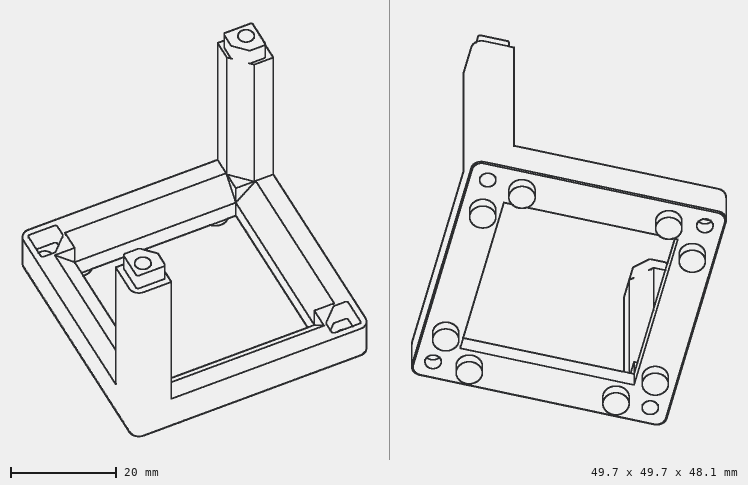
import cadquery as cq

SIDE = 49.7
BAR_WIDTH = 7.9
BASE_HEIGHT = 8.0
CORNER_RADIUS = 2.05
BOTTOM_CHAMFER = 0.25
BAR_BEVEL = 4.15

POST_TOP = 41.95
POST_CHAMFER = 3.85

TENON_INSET = 1.25
TENON_SIZE = 6.05
TENON_HEIGHT = 3.75
TENON_EDGE_RADIUS = 0.45
SOCKET_DEPTH = 4.95
SOCKET_CHAMFER = 3.2

HOLE_DIAMETER = 3.1
HOLE_INSET = 3.7
FOOT_DIAMETER = 4.95
FOOT_HEIGHT = 2.35
FOOT_INSET = 4.4
FOOT_END_OFFSET = 10.55

TENON_SETBACK = BAR_WIDTH - TENON_INSET - TENON_SIZE
TENON_CHAMFER = POST_CHAMFER - 2 * TENON_SETBACK
HALF = SIDE / 2
OPENING = SIDE - 2 * BAR_WIDTH
POST_CORNERS = [(-1, 1), (1, -1)]
SOCKET_CORNERS = [(-1, -1), (1, 1)]
ALL_CORNERS = POST_CORNERS + SOCKET_CORNERS


def corner_prism(corner, inset, size, chamfer, bottom, height):
    """Square prism in a frame corner, with its inward-facing edge cut at 45 degrees."""
    sx, sy = corner
    near = HALF - inset
    far = near - size
    outline = [
        (near, near),
        (far, near),
        (far, far + chamfer),
        (far + chamfer, far),
        (near, far),
    ]
    points = [(sx * x, sy * y) for x, y in outline]
    return cq.Workplane("XY").workplane(offset=bottom).polyline(points).close().extrude(height)


def rounded_prism(corner, chamfer, bottom, height):
    """Corner prism with rounded vertical edges, shared by the tenons and their sockets."""
    prism = corner_prism(corner, TENON_INSET, TENON_SIZE, chamfer, bottom, height)
    return prism.edges("|Z").fillet(TENON_EDGE_RADIUS)


def base_ring():
    """Square ring with a beveled inner top edge along each bar, between the corner blocks."""
    ring = cq.Workplane("XY").rect(SIDE, SIDE).extrude(BASE_HEIGHT)
    ring = ring.cut(cq.Workplane("XY").rect(OPENING, OPENING).extrude(BASE_HEIGHT))
    inner = OPENING / 2
    bevel = (
        cq.Workplane("XZ", origin=(0, inner, 0))
        .polyline([
            (inner, BASE_HEIGHT),
            (inner + BAR_BEVEL, BASE_HEIGHT),
            (inner, BASE_HEIGHT - BAR_BEVEL),
        ])
        .close()
        .extrude(OPENING)
    )
    for quarter in range(4):
        ring = ring.cut(bevel.rotate((0, 0, 0), (0, 0, 1), 90 * quarter))
    return ring


def rounded_envelope():
    """Outer limit of the frame: rounded vertical corners and a chamfered bottom edge."""
    block = cq.Workplane("XY").rect(SIDE, SIDE).extrude(POST_TOP)
    return block.edges("|Z").fillet(CORNER_RADIUS).faces("<Z").edges().chamfer(BOTTOM_CHAMFER)


frame = base_ring()
post_height = POST_TOP - BASE_HEIGHT
for corner in POST_CORNERS:
    frame = frame.union(corner_prism(corner, 0, BAR_WIDTH, POST_CHAMFER, BASE_HEIGHT, post_height))
frame = frame.intersect(rounded_envelope())

for corner in POST_CORNERS:
    frame = frame.union(rounded_prism(corner, TENON_CHAMFER, POST_TOP, TENON_HEIGHT))
for corner in SOCKET_CORNERS:
    frame = frame.cut(rounded_prism(corner, SOCKET_CHAMFER, BASE_HEIGHT - SOCKET_DEPTH, SOCKET_DEPTH))

hole_center = HALF - HOLE_INSET
hole_points = [(sx * hole_center, sy * hole_center) for sx, sy in ALL_CORNERS]
frame = frame.cut(
    cq.Workplane("XY").pushPoints(hole_points).circle(HOLE_DIAMETER / 2).extrude(POST_TOP + TENON_HEIGHT)
)

foot_across = HALF - FOOT_INSET
foot_along = HALF - FOOT_END_OFFSET
foot_points = []
for sx, sy in ALL_CORNERS:
    foot_points.append((sx * foot_across, sy * foot_along))
    foot_points.append((sx * foot_along, sy * foot_across))
feet = cq.Workplane("XY").pushPoints(foot_points).circle(FOOT_DIAMETER / 2).extrude(-FOOT_HEIGHT)

result = frame.union(feet)